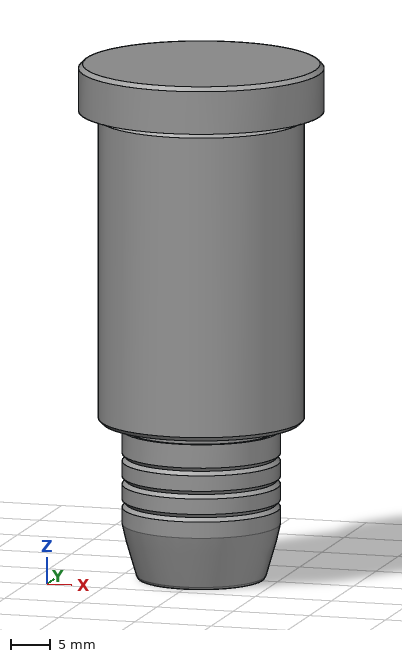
import cadquery as cq

total_height = 66.0
head_radius = 15.5
head_height = 6.0
head_chamfer = 0.5
body_radius = 13.0
body_bottom = 20.0
body_chamfer = 0.5
relief_depth = 0.6
relief_offset = 0.4
spigot_radius = 20.0 / 2
neck_radius = 9.6
neck_height = 1.0
groove_depth = 0.495
groove_pitch = 3.0
groove_count = 3
lowest_groove_height = 9.6
taper_height = 7.0
taper_bulge = 0.1
tip_radius = 8.2
tip_chamfer = 0.3
tip_chamfer_inset = 0.2

head_bottom = total_height - head_height


def cylinder(radius, bottom, top):
    return cq.Workplane("XY").workplane(offset=bottom).circle(radius).extrude(top - bottom)


def ring_groove(surface_radius, root_height, depth):
    """Cutter for a 90 degree V groove turned into a cylindrical surface."""
    return (
        cq.Workplane("XZ")
        .moveTo(surface_radius - depth, root_height)
        .lineTo(surface_radius, root_height + depth)
        .lineTo(surface_radius, root_height - depth)
        .close()
        .revolve(360, (0, 0), (0, 1))
    )


head = cylinder(head_radius, head_bottom, total_height).faces(">Z").edges().chamfer(head_chamfer)

body = cylinder(body_radius, body_bottom, head_bottom).faces("<Z").edges().chamfer(body_chamfer)
body = body.cut(ring_groove(body_radius, head_bottom - relief_offset, relief_depth))

taper_middle_radius = (spigot_radius + tip_radius) / 2 + taper_bulge
taper_middle_height = (taper_height + tip_chamfer) / 2
neck_bottom = body_bottom - neck_height
spigot = (
    cq.Workplane("XZ")
    .lineTo(tip_radius - tip_chamfer_inset, 0)
    .lineTo(tip_radius, tip_chamfer)
    .threePointArc((taper_middle_radius, taper_middle_height), (spigot_radius, taper_height))
    .lineTo(spigot_radius, neck_bottom)
    .lineTo(neck_radius, neck_bottom)
    .lineTo(neck_radius, body_bottom)
    .lineTo(0, body_bottom)
    .close()
    .revolve(360, (0, 0), (0, 1))
)
for index in range(groove_count):
    groove_height = lowest_groove_height + index * groove_pitch
    spigot = spigot.cut(ring_groove(spigot_radius, groove_height, groove_depth))

result = head.union(body).union(spigot)